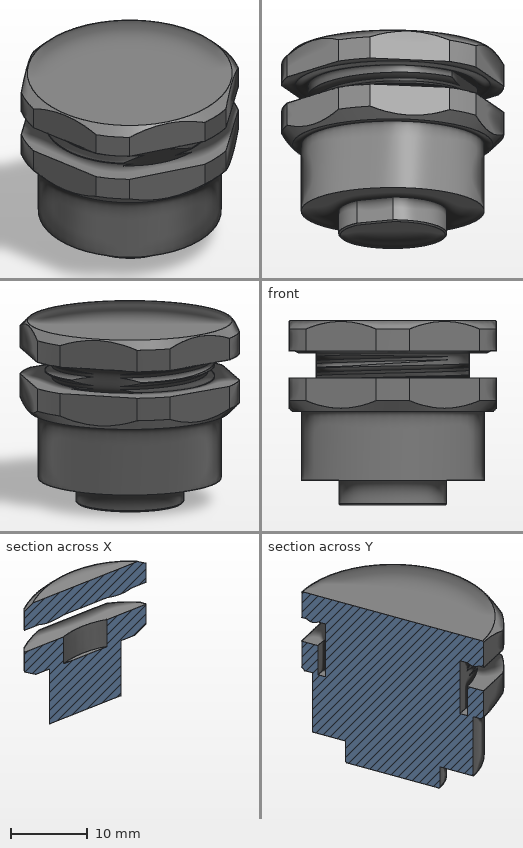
import cadquery as cq
import math

ACROSS_FLATS = 27.0
ROUNDED_CORNER_RADIUS = 14.48

BOSS_HEIGHT = 3.25
BODY_HEIGHT = 8.95
NUT_HEIGHT = 4.4
GAP_HEIGHT = 3.5
CAP_HEIGHT = 4.0

BODY_BOTTOM = BOSS_HEIGHT
NUT_BOTTOM = BODY_BOTTOM + BODY_HEIGHT
NUT_TOP = NUT_BOTTOM + NUT_HEIGHT
CAP_BOTTOM = NUT_TOP + GAP_HEIGHT

NUT_CHAMFER = 1.42
CAP_CHAMFER = 1.13

BOSS_RADIUS = 7.05
BOSS_FLAT_DISTANCE = 6.57
BOSS_CHAMFER = 0.2

BODY_RADIUS = 11.93

SEAL_RADIUS = 12.75
SEAL_BULGE = 0.3

THREAD_RADIUS = 11.05
ROOT_RADIUS = 10.16
NECK_ACROSS_FLATS = 19.98
THREAD_PITCH = 1.55
ROOT_WIDTH = 0.4
FLANK_ANGLE = 30.0
GROOVE_OVERSHOOT = 0.15

GROOVE_HEIGHT_AT_MINUS_X = 18.6
FULL_DEPTH_END_ANGLE = 238.0
RUNOUT_END_ANGLE = 310.0
RUNOUT_STEPS = 6
GROOVE_TURNS = 2.25


def hexagon_disc(height, chamfer, chamfered_face):
    """Hexagonal disc on Z = 0 with rounded corners and one face turned to a cone."""
    corner_to_flat_angle = 180 / 6
    across_corners = ACROSS_FLATS / math.cos(math.radians(corner_to_flat_angle))
    hexagon = (
        cq.Workplane("XY")
        .polygon(6, across_corners)
        .extrude(height)
        .rotate((0, 0, 0), (0, 0, 1), corner_to_flat_angle)
    )
    turned_blank = (
        cq.Workplane("XY")
        .circle(ROUNDED_CORNER_RADIUS)
        .extrude(height)
        .faces(chamfered_face)
        .chamfer(chamfer)
    )
    return hexagon.intersect(turned_blank)


def boss():
    disc = cq.Workplane("XY").circle(BOSS_RADIUS).extrude(BOSS_HEIGHT)
    beyond_flat = (
        cq.Workplane("XY")
        .center(0, BOSS_FLAT_DISTANCE + BOSS_RADIUS)
        .rect(2 * BOSS_RADIUS, 2 * BOSS_RADIUS)
        .extrude(BOSS_HEIGHT)
    )
    return disc.cut(beyond_flat).faces("<Z").chamfer(BOSS_CHAMFER)


def body():
    return cq.Workplane("XY", origin=(0, 0, BODY_BOTTOM)).circle(BODY_RADIUS).extrude(BODY_HEIGHT)


def groove_height(angle):
    """Height of the middle of the groove at an angle in degrees."""
    return GROOVE_HEIGHT_AT_MINUS_X + THREAD_PITCH * (angle - 180) / 360


def groove_profile(angle, root_radius):
    """Trapezoid of the groove in the radial plane at an angle in degrees."""
    direction = math.radians(angle)
    plane = cq.Plane(
        origin=(0, 0, groove_height(angle)),
        xDir=(math.cos(direction), math.sin(direction), 0),
        normal=(math.sin(direction), -math.cos(direction), 0),
    )
    depth = THREAD_RADIUS - ROOT_RADIUS + GROOVE_OVERSHOOT
    half_root = ROOT_WIDTH / 2
    half_mouth = half_root + depth * math.tan(math.radians(FLANK_ANGLE))
    return cq.Workplane(plane).polyline(
        [
            (root_radius, -half_root),
            (root_radius + depth, -half_mouth),
            (root_radius + depth, half_mouth),
            (root_radius, half_root),
        ]
    ).close()


def full_depth_groove():
    start_angle = FULL_DEPTH_END_ANGLE - 360 * GROOVE_TURNS
    helix = (
        cq.Wire.makeHelix(THREAD_PITCH, THREAD_PITCH * GROOVE_TURNS, ROOT_RADIUS)
        .rotate(cq.Vector(0, 0, 0), cq.Vector(0, 0, 1), start_angle)
        .translate(cq.Vector(0, 0, groove_height(start_angle)))
    )
    return groove_profile(start_angle, ROOT_RADIUS).sweep(cq.Workplane(helix), isFrenet=True)


def groove_runout():
    """End of the groove, rising evenly from full depth to the neck surface."""
    sections = []
    for step in range(RUNOUT_STEPS + 1):
        progress = step / RUNOUT_STEPS
        angle = FULL_DEPTH_END_ANGLE + progress * (RUNOUT_END_ANGLE - FULL_DEPTH_END_ANGLE)
        root_radius = ROOT_RADIUS + progress * (THREAD_RADIUS - ROOT_RADIUS)
        sections.append(groove_profile(angle, root_radius).wire().val())
    return cq.Workplane(cq.Solid.makeLoft(sections))


def neck_disc(bottom, top):
    return cq.Workplane("XY", origin=(0, 0, bottom)).circle(THREAD_RADIUS).extrude(top - bottom)


def between_neck_flats(bottom, top):
    return (
        cq.Workplane("XY", origin=(0, 0, bottom))
        .rect(NECK_ACROSS_FLATS, ACROSS_FLATS)
        .extrude(top - bottom)
    )


def threaded_neck():
    grooved = neck_disc(NUT_BOTTOM, CAP_BOTTOM).cut(full_depth_groove()).cut(groove_runout())
    return grooved.intersect(between_neck_flats(NUT_BOTTOM, CAP_BOTTOM))


def nut_clearances():
    """Open segments between the flats of the neck and the round hole of the nut."""
    return neck_disc(NUT_BOTTOM, NUT_TOP).cut(between_neck_flats(NUT_BOTTOM, NUT_TOP))


def seal():
    middle_radius = (THREAD_RADIUS + SEAL_RADIUS) / 2
    return (
        cq.Workplane("XZ")
        .moveTo(THREAD_RADIUS, CAP_BOTTOM)
        .threePointArc((middle_radius, CAP_BOTTOM - SEAL_BULGE), (SEAL_RADIUS, CAP_BOTTOM))
        .close()
        .revolve(360, (0, 0, 0), (0, 1, 0))
    )


nut = hexagon_disc(NUT_HEIGHT, NUT_CHAMFER, "<Z").translate((0, 0, NUT_BOTTOM))
cap = hexagon_disc(CAP_HEIGHT, CAP_CHAMFER, ">Z").translate((0, 0, CAP_BOTTOM))

result = boss().union(body()).union(threaded_neck()).union(nut).cut(nut_clearances())
result = result.union(cap).union(seal())